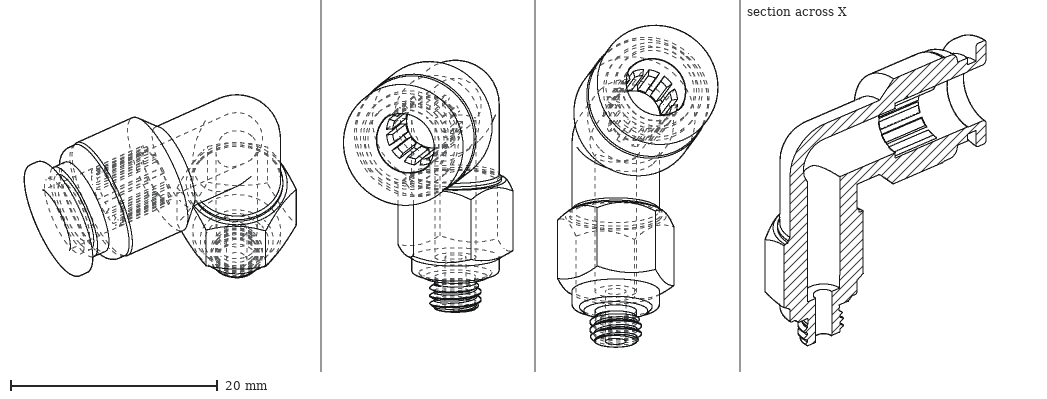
import cadquery as cq
import math


ELBOW_DIAMETER = 8.5
ELBOW_BORE_DIAMETER = 5.0
LEG_BORE_DIAMETER = 4.0

SOCKET_DIAMETER = 12.0
SOCKET_TAPER_START = 7.0
SOCKET_STEP_START = 14.9
SOCKET_STEP_LENGTH = 0.3
SOCKET_END = 16.8
SOCKET_END_DIAMETER = 11.8
SOCKET_END_ROUND = 1.0

RING_DIAMETER = 9.5
RING_END = 18.05
SLEEVE_DIAMETER = 7.95
FLANGE_START = 19.1
FLANGE_DIAMETER = 11.8
ARM_LENGTH = 20.4
FLANGE_ROUND = 0.3
MOUTH_DIAMETER = 6.3
MOUTH_ROUND = 0.5
SLEEVE_BORE_DIAMETER = 6.2

TOOTH_COUNT = 12
TOOTH_GAP = 0.55
TOOTH_TIP_DIAMETER = 5.2
TOOTH_CONE_START = 14.4
TOOTH_CONE_END = 14.0
SOCKET_FLOOR = 9.0

COLLAR_TOP = 6.95
COLLAR_BEVEL_HEIGHT = 0.3
COLLAR_DIAMETER = 8.95
HEX_TOP = 7.5
HEX_BOTTOM = 15.15
HEX_ACROSS_FLATS = 10.0
HEX_TOP_FACE_DIAMETER = 9.8
HEX_TOP_BEVEL_HEIGHT = 0.8
HEX_BOTTOM_BEVEL_HEIGHT = 0.95
WASHER_DIAMETER = 8.5
WASHER_BOTTOM = 16.7
WASHER_ROUND = 0.3
SEAL_TOP_DIAMETER = 7.07
SEAL_BOTTOM_DIAMETER = 6.2
SEAL_BOTTOM = 17.1
SEAL_BULGE = 0.04

NECK_DIAMETER = 4.0
THREAD_TOP = 17.7
LEG_LENGTH = 20.2
THREAD_DIAMETER = 5.0
THREAD_ROOT_DIAMETER = 4.13
THREAD_PITCH = 0.8
THREAD_CREST_WIDTH = 0.1
THREAD_ROOT_WIDTH = 0.6
THREAD_CREST_DEPTH = 19.0
RIDGE_SINK = 0.1
RIDGE_TURNS = 5
RIDGE_TURNS_BELOW_CREST = 2
THREAD_HOLE_DIAMETER = 2.0
LEG_BORE_END = HEX_BOTTOM

ROUND_INSET = 1 - math.sqrt(0.5)


def revolve_about_arm(profile):
    """Close an outline of (radius, Y) points and revolve it about the arm axis."""
    return profile.close().revolve(360, (0, 0, 0), (0, 1, 0))


def revolve_about_leg(points):
    """Revolve an outline of (radius, depth below the arm axis) points about the leg axis."""
    outline = [(radius, -depth) for radius, depth in points]
    return cq.Workplane("XZ").polyline(outline).close().revolve(360, (0, 0, 0), (0, 1, 0))


def make_elbow():
    radius = ELBOW_DIAMETER / 2
    arm = cq.Workplane("XZ").circle(radius).extrude(SOCKET_TAPER_START)
    leg = cq.Workplane("XY").circle(radius).extrude(-HEX_TOP)
    return cq.Workplane("XY").sphere(radius).union(arm).union(leg)


def make_socket_and_sleeve():
    elbow_radius = ELBOW_DIAMETER / 2
    socket_radius = SOCKET_DIAMETER / 2
    end_radius = SOCKET_END_DIAMETER / 2
    taper_end = SOCKET_TAPER_START + socket_radius - elbow_radius
    inset = SOCKET_END_ROUND * ROUND_INSET
    round_middle = (end_radius - inset, -(SOCKET_END - inset))
    profile = (
        cq.Workplane("XY")
        .moveTo(0, -SOCKET_TAPER_START)
        .lineTo(elbow_radius, -SOCKET_TAPER_START)
        .lineTo(socket_radius, -taper_end)
        .lineTo(socket_radius, -SOCKET_STEP_START)
        .lineTo(end_radius, -(SOCKET_STEP_START + SOCKET_STEP_LENGTH))
        .lineTo(end_radius, -(SOCKET_END - SOCKET_END_ROUND))
        .threePointArc(round_middle, (end_radius - SOCKET_END_ROUND, -SOCKET_END))
        .lineTo(RING_DIAMETER / 2, -SOCKET_END)
        .lineTo(RING_DIAMETER / 2, -RING_END)
        .lineTo(SLEEVE_DIAMETER / 2, -RING_END)
        .lineTo(SLEEVE_DIAMETER / 2, -FLANGE_START)
        .lineTo(0, -FLANGE_START)
    )
    flange = (
        cq.Workplane("XZ", origin=(0, -FLANGE_START, 0))
        .circle(FLANGE_DIAMETER / 2)
        .extrude(ARM_LENGTH - FLANGE_START)
        .edges()
        .fillet(FLANGE_ROUND)
    )
    return revolve_about_arm(profile).union(flange)


def make_collar():
    top_radius = ELBOW_DIAMETER / 2
    radius = COLLAR_DIAMETER / 2
    return revolve_about_leg([
        (0, COLLAR_TOP),
        (top_radius, COLLAR_TOP),
        (radius, COLLAR_TOP + COLLAR_BEVEL_HEIGHT),
        (radius, HEX_TOP),
        (0, HEX_TOP),
    ])


def make_hex():
    across_corners = HEX_ACROSS_FLATS / math.cos(math.pi / 6)
    corner_radius = across_corners / 2
    prism = (
        cq.Workplane("XY", origin=(0, 0, -HEX_BOTTOM))
        .polygon(6, across_corners)
        .extrude(HEX_BOTTOM - HEX_TOP)
    )
    bevels = revolve_about_leg([
        (0, HEX_TOP),
        (HEX_TOP_FACE_DIAMETER / 2, HEX_TOP),
        (corner_radius, HEX_TOP + HEX_TOP_BEVEL_HEIGHT),
        (corner_radius, HEX_BOTTOM - HEX_BOTTOM_BEVEL_HEIGHT),
        (WASHER_DIAMETER / 2, HEX_BOTTOM),
        (0, HEX_BOTTOM),
    ])
    return prism.intersect(bevels)


def make_washer():
    return (
        cq.Workplane("XY", origin=(0, 0, -WASHER_BOTTOM))
        .circle(WASHER_DIAMETER / 2)
        .extrude(WASHER_BOTTOM - HEX_BOTTOM)
        .faces("<Z")
        .edges()
        .fillet(WASHER_ROUND)
    )


def make_seal():
    """The seal lip under the washer, with a slightly bulging side."""
    top_radius = SEAL_TOP_DIAMETER / 2
    bottom_radius = SEAL_BOTTOM_DIAMETER / 2
    bulge_shift = math.sqrt(0.5) * SEAL_BULGE
    middle_radius = (top_radius + bottom_radius) / 2 + bulge_shift
    middle_depth = (WASHER_BOTTOM + SEAL_BOTTOM) / 2 + bulge_shift
    return (
        cq.Workplane("XZ")
        .moveTo(0, -WASHER_BOTTOM)
        .lineTo(top_radius, -WASHER_BOTTOM)
        .threePointArc((middle_radius, -middle_depth), (bottom_radius, -SEAL_BOTTOM))
        .lineTo(0, -SEAL_BOTTOM)
        .close()
        .revolve(360, (0, 0, 0), (0, 1, 0))
    )


def make_neck():
    return (
        cq.Workplane("XY", origin=(0, 0, -THREAD_TOP))
        .circle(NECK_DIAMETER / 2)
        .extrude(THREAD_TOP - SEAL_BOTTOM)
    )


def make_thread():
    root_radius = THREAD_ROOT_DIAMETER / 2
    crest_radius = THREAD_DIAMETER / 2
    flank_run = (THREAD_ROOT_WIDTH - THREAD_CREST_WIDTH) / 2
    flank_widening = RIDGE_SINK * flank_run / (crest_radius - root_radius)
    base_radius = root_radius - RIDGE_SINK
    base_half_width = THREAD_ROOT_WIDTH / 2 + flank_widening
    ridge_start = THREAD_CREST_DEPTH + RIDGE_TURNS_BELOW_CREST * THREAD_PITCH
    helix = cq.Wire.makeHelix(THREAD_PITCH, RIDGE_TURNS * THREAD_PITCH, root_radius)
    ridge = (
        cq.Workplane("XZ")
        .moveTo(base_radius, -base_half_width)
        .lineTo(crest_radius, -THREAD_CREST_WIDTH / 2)
        .lineTo(crest_radius, THREAD_CREST_WIDTH / 2)
        .lineTo(base_radius, base_half_width)
        .close()
        .sweep(cq.Workplane(obj=helix), isFrenet=True)
        .rotate((0, 0, 0), (0, 0, 1), 180)
        .translate((0, 0, -ridge_start))
    )
    neck_radius = NECK_DIAMETER / 2
    half_length = (LEG_LENGTH - THREAD_TOP) / 2
    envelope = revolve_about_leg([
        (0, THREAD_TOP),
        (neck_radius, THREAD_TOP),
        (neck_radius + half_length, THREAD_TOP + half_length),
        (neck_radius, LEG_LENGTH),
        (0, LEG_LENGTH),
    ])
    core = (
        cq.Workplane("XY", origin=(0, 0, -LEG_LENGTH))
        .circle(root_radius)
        .extrude(LEG_LENGTH - THREAD_TOP)
    )
    trimmed_ridge = ridge.intersect(envelope, clean=False)
    return core.intersect(envelope).union(trimmed_ridge, clean=False)


def make_passage():
    """The flow passage: arm bore, rounded corner, leg bore and hole through the thread."""
    bore_radius = ELBOW_BORE_DIAMETER / 2
    arm_bore = cq.Workplane("XZ").circle(bore_radius).extrude(SOCKET_FLOOR)
    leg_bore = cq.Workplane("XY").circle(LEG_BORE_DIAMETER / 2).extrude(-LEG_BORE_END)
    thread_hole = cq.Workplane("XY").circle(THREAD_HOLE_DIAMETER / 2).extrude(-LEG_LENGTH)
    corner = cq.Workplane("XY").sphere(bore_radius)
    return arm_bore.union(corner).union(leg_bore).union(thread_hole)


def make_tube_hole():
    """The hole for the tube, narrowed by a cone that is cut into teeth by radial gaps."""
    mouth_radius = MOUTH_DIAMETER / 2
    sleeve_radius = SLEEVE_BORE_DIAMETER / 2
    tip_radius = TOOTH_TIP_DIAMETER / 2
    inset = MOUTH_ROUND * ROUND_INSET
    round_middle = (mouth_radius + inset, -(ARM_LENGTH - inset))
    profile = (
        cq.Workplane("XY")
        .moveTo(0, -SOCKET_FLOOR)
        .lineTo(tip_radius, -SOCKET_FLOOR)
        .lineTo(tip_radius, -TOOTH_CONE_END)
        .lineTo(sleeve_radius, -TOOTH_CONE_START)
        .lineTo(sleeve_radius, -RING_END)
        .lineTo(mouth_radius, -RING_END)
        .lineTo(mouth_radius, -(ARM_LENGTH - MOUTH_ROUND))
        .threePointArc(round_middle, (mouth_radius + MOUTH_ROUND, -ARM_LENGTH))
        .lineTo(0, -ARM_LENGTH)
    )
    hole = revolve_about_arm(profile)
    gap_length = TOOTH_CONE_START - SOCKET_FLOOR
    sleeve_bore = cq.Workplane("XZ", origin=(0, -SOCKET_FLOOR, 0)).circle(sleeve_radius).extrude(gap_length)
    gap_pair = (
        cq.Workplane("XZ", origin=(0, -SOCKET_FLOOR, 0))
        .rect(MOUTH_DIAMETER, TOOTH_GAP)
        .extrude(gap_length)
        .intersect(sleeve_bore)
    )
    for index in range(TOOTH_COUNT // 2):
        hole = hole.union(gap_pair.rotate((0, 0, 0), (0, 1, 0), index * 360 / TOOTH_COUNT))
    return hole


result = (
    make_elbow()
    .union(make_socket_and_sleeve())
    .union(make_collar())
    .union(make_hex())
    .union(make_washer())
    .union(make_seal())
    .union(make_neck())
    .union(make_thread(), clean=False)
    .cut(make_passage(), clean=False)
    .cut(make_tube_hole(), clean=False)
)